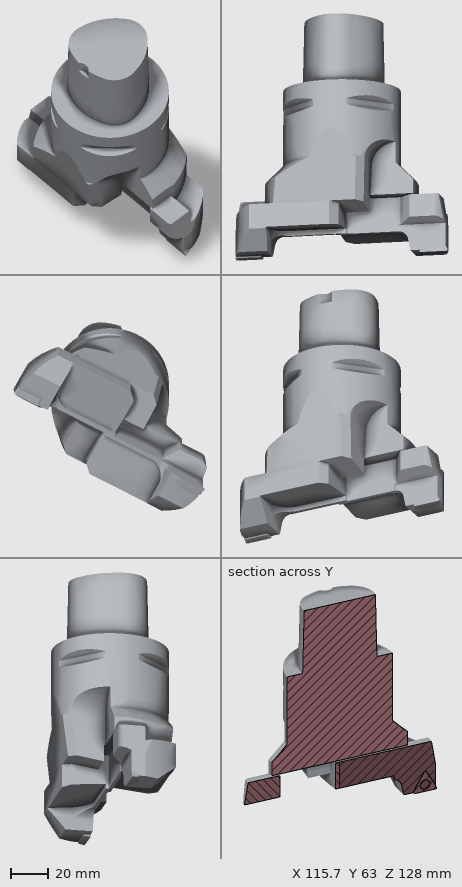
import cadquery as cq
import math


total_height = 128.0
flange_radius = 31.5
flange_top = 89.9
cone_top = 48.4
base_radius = 41.2
base_edge_fillet = 1.3
base_flat_x = 40.2
cone_bottom = cone_top - (base_radius - flange_radius)

shank_foot_radius = 23.4
shank_tip_radius = 22.5
lobe_to_seam = 1.5
lobe_to_flank = 3.0
lobe_half_angle = 25.5
lobe_angles = (-30, 90, 210)
lobe_spacing = 120
notch_radius = 4.9
notch_axis_y = -22.4
notch_floor = 121.7

groove_z = 78.0
groove_floor_distance = 27.8
groove_floor_width = 3.5
groove_mouth_width = 8.0

half_tongue = 7.0
plate_side_y = 25.9
seat_inner_z = 22.1
seat_outer_z = 25.0
slot_ceiling = 31.2
tongue_top = 30.5

side_flat_top = 63.7
pocket_wall_y = -6.7
pocket_radius = 13.0
pocket_arc_z = 46.6
pocket_arc_floor_x = 17.8
pocket_low_floor_x = 16.6
corner_cut = 4.0

cartridge_end_x = 56.7
plate_inner_x = -2.8
plate_chamfer = 4.2
block_front_end_x = 52.4
end_corner_mid = (54.4, -6.0)
end_face_front_y = -3.5
end_face_back_y = 6.7
plate_round_mid = (53.2, 15.5)
plate_side_end_x = 45.2
rib_bottom = 11.8
leg_bottom = 1.3
leg_top_x = 35.5
leg_bottom_x = 37.6
leg_fillet = 5.1
leg_foot_width = 15.0
leg_chamfer_top = 11.5
end_tilt_start = 15.1
end_top_x = 54.1
recess_inner_x = 2.7
recess_outer_floor_x = 32.4
recess_outer_mouth_x = 38.4
recess_corner_radius = 1.3
recess_rise = 0.4
mouth_edge_fillet = 1.9
ledge_z = 15.4
ledge_slope = math.tan(math.radians(25))
ledge_inner_x = 31.2
rib_thickness = 1.8
hollow_wall_x = 36.2
hollow_corner_radius = 10.2
hollow_inner_z = 14.5
hollow_outer_z = 12.2

rake_offset = 0.9
insert_x = 50.3
insert_inradius = 4.7
insert_nose_radius = 0.8
insert_thickness = 3.8
insert_clearance = 7.0
insert_hole_diameter = 6.0

far = 76.8


def half_turn(shape):
    return shape.rotate((0, 0, 0), (0, 0, 1), 180)


def prism_along_x(points, start_x, end_x):
    """Prism with a section given as (y, z) points."""
    return cq.Workplane("YZ", origin=(start_x, 0, 0)).polyline(points).close().extrude(end_x - start_x)


def polar_point(radius, degrees):
    angle = math.radians(degrees)
    return (radius * math.cos(angle), radius * math.sin(angle))


def draw_lobed_outline(plane, lobe_radius):
    """Closed outline of three lobe arcs and three flatter flank arcs."""
    seam_radius = lobe_radius - lobe_to_seam
    outline = plane.moveTo(*polar_point(seam_radius, lobe_angles[0] - lobe_half_angle))
    for angle in lobe_angles:
        outline = outline.threePointArc(
            polar_point(lobe_radius, angle),
            polar_point(seam_radius, angle + lobe_half_angle),
        ).threePointArc(
            polar_point(lobe_radius - lobe_to_flank, angle + lobe_spacing / 2),
            polar_point(seam_radius, angle + lobe_spacing - lobe_half_angle),
        )
    return outline.close()


def make_shank():
    foot = draw_lobed_outline(cq.Workplane("XY", origin=(0, 0, flange_top)), shank_foot_radius)
    tip_plane = foot.workplane(offset=total_height - flange_top)
    shank = draw_lobed_outline(tip_plane, shank_tip_radius).loft(ruled=True)
    notch = (
        cq.Workplane("XY", origin=(0, notch_axis_y, notch_floor))
        .circle(notch_radius)
        .extrude(total_height - notch_floor)
    )
    return shank.cut(notch)


def make_gripper_groove(angle):
    section = [
        (groove_floor_distance, groove_z - groove_floor_width / 2),
        (flange_radius, groove_z - groove_mouth_width / 2),
        (flange_radius, groove_z + groove_mouth_width / 2),
        (groove_floor_distance, groove_z + groove_floor_width / 2),
    ]
    groove = cq.Workplane("XZ").polyline(section).close().extrude(flange_radius, both=True)
    return groove.rotate((0, 0, 0), (0, 0, 1), angle)


def make_chip_pocket():
    """Space in front of the +X insert, open toward -Y and +X."""
    arc_center_x = pocket_arc_floor_x + pocket_radius
    slope = (pocket_arc_floor_x - pocket_low_floor_x) / (pocket_arc_z - seat_outer_z)
    foot_x = pocket_low_floor_x - slope * seat_outer_z
    diagonal = pocket_radius * math.sqrt(0.5)
    return (
        cq.Workplane("XZ", origin=(0, pocket_wall_y, 0))
        .moveTo(foot_x, 0)
        .lineTo(pocket_arc_floor_x, pocket_arc_z)
        .threePointArc(
            (arc_center_x - diagonal, pocket_arc_z + diagonal),
            (arc_center_x, pocket_arc_z + pocket_radius),
        )
        .lineTo(far, pocket_arc_z + pocket_radius)
        .lineTo(far, 0)
        .close()
        .extrude(far)
    )


def side_flat_y(z):
    """Y of the tapered flat on the -Y side."""
    taper = (flange_radius - plate_side_y) / (side_flat_top - seat_outer_z)
    return -flange_radius + taper * (side_flat_top - z)


def make_pocket_corner_cut():
    """45 degree cut along the edge between the chip pocket floor and the -Y flat."""
    low = cq.Vector(pocket_low_floor_x - corner_cut, side_flat_y(seat_outer_z), seat_outer_z)
    high = cq.Vector(pocket_arc_floor_x - corner_cut, side_flat_y(pocket_arc_z), pocket_arc_z)
    across = cq.Vector(1, 1, 0)
    outward = (high - low).cross(across)
    if outward.y > 0:
        outward = outward * -1
    cut_plane = cq.Plane(origin=low, xDir=across, normal=outward)
    cutter = cq.Workplane(cut_plane).rect(2 * flange_radius, 2 * far).extrude(flange_radius)
    keep_clear = cq.Workplane("XY").box(far, far, 2 * far).translate((far / 2, pocket_wall_y - far / 2, 0))
    return cutter.intersect(keep_clear)


def make_side_flat():
    section = [
        (side_flat_y(0), 0),
        (side_flat_y(side_flat_top), side_flat_top),
        (-far, side_flat_top),
        (-far, 0),
    ]
    return prism_along_x(section, -far, far)


def make_underside():
    """Everything below the two sloping cartridge seats."""
    slope = (seat_outer_z - seat_inner_z) / (plate_side_y - half_tongue)
    edge_z = seat_inner_z + slope * (far - half_tongue)
    section = [
        (-far, 0),
        (-far, edge_z),
        (-half_tongue, seat_inner_z),
        (half_tongue, seat_inner_z),
        (far, edge_z),
        (far, 0),
    ]
    return prism_along_x(section, -far, far)


def make_turned_body():
    """Turned shape of the housing, with the edge between cone and base rounded."""
    tangent_length = base_edge_fillet * math.tan(math.radians(22.5))
    diagonal = math.sqrt(0.5)
    arc_end_z = cone_bottom - tangent_length
    arc_center_x = base_radius - base_edge_fillet
    mid_x, mid_z = polar_point(base_edge_fillet, 22.5)
    return (
        cq.Workplane("XZ")
        .moveTo(0, 0)
        .lineTo(base_radius, 0)
        .lineTo(base_radius, arc_end_z)
        .threePointArc(
            (arc_center_x + mid_x, arc_end_z + mid_z),
            (base_radius - tangent_length * diagonal, cone_bottom + tangent_length * diagonal),
        )
        .lineTo(flange_radius, cone_top)
        .lineTo(flange_radius, flange_top)
        .lineTo(0, flange_top)
        .close()
        .revolve(360, (0, 0, 0), (0, 1, 0))
    )


def make_housing():
    body = make_turned_body()
    base_flat = cq.Workplane("XY").box(far, 2 * far, 2 * far).translate((base_flat_x + far / 2, 0, 0))
    for tool in (base_flat, make_side_flat(), make_chip_pocket(), make_pocket_corner_cut()):
        body = body.cut(tool).cut(half_turn(tool))
    body = body.cut(make_underside())
    slot = cq.Workplane("XY").box(2 * far, 2 * half_tongue, 2 * slot_ceiling)
    body = body.cut(slot)
    for angle in (45, 135, 225, 315):
        body = body.cut(make_gripper_groove(angle))
    return body.union(make_shank())


def make_cartridge_blank(rake_y):
    """Cartridge section cut to its outline; the insert sits at +X and faces -Y."""
    section = [
        (-half_tongue, leg_bottom),
        (-half_tongue, tongue_top),
        (half_tongue, tongue_top),
        (half_tongue, seat_inner_z),
        (plate_side_y, seat_outer_z),
        (plate_side_y, leg_chamfer_top),
        (rake_y + leg_foot_width, leg_bottom),
    ]
    bar = prism_along_x(section, plate_inner_x, cartridge_end_x)
    outline = (
        cq.Workplane("XY")
        .moveTo(0, -half_tongue)
        .lineTo(block_front_end_x, -half_tongue)
        .threePointArc(end_corner_mid, (cartridge_end_x, end_face_front_y))
        .lineTo(cartridge_end_x, end_face_back_y)
        .threePointArc(plate_round_mid, (plate_side_end_x, plate_side_y))
        .lineTo(plate_inner_x + plate_chamfer, plate_side_y)
        .lineTo(plate_inner_x, plate_side_y - plate_chamfer)
        .lineTo(plate_inner_x, half_tongue)
        .lineTo(0, half_tongue)
        .close()
        .extrude(far)
    )
    return bar.intersect(outline)


def make_leg_clearance():
    """Space below the rib, inward of the leg."""
    slant = (leg_bottom_x - leg_top_x) / (rib_bottom - leg_bottom)
    space = (
        cq.Workplane("XZ")
        .polyline([
            (-far, 0),
            (-far, rib_bottom),
            (leg_top_x, rib_bottom),
            (leg_top_x + slant * rib_bottom, 0),
        ])
        .close()
        .extrude(far, both=True)
    )
    top_corner = cq.selectors.NearestToPointSelector((leg_top_x, 0, rib_bottom))
    return space.edges(top_corner).fillet(leg_fillet)


def make_end_tilt():
    lean = (cartridge_end_x - end_top_x) / (tongue_top - end_tilt_start)
    return (
        cq.Workplane("XZ")
        .polyline([
            (cartridge_end_x, end_tilt_start),
            (cartridge_end_x - lean * (far - end_tilt_start), far),
            (far, far),
            (far, end_tilt_start),
        ])
        .close()
        .extrude(far, both=True)
    )


def make_chip_recess(rake_y):
    """Recess in the tongue's -Y side, from the axis to the insert block."""
    floor_y = rake_y - recess_rise
    recess = (
        cq.Workplane("XY")
        .polyline([
            (recess_inner_x, -half_tongue),
            (recess_inner_x, floor_y),
            (recess_outer_floor_x, floor_y),
            (recess_outer_mouth_x, -half_tongue),
        ])
        .close()
        .extrude(far)
    )
    inner_corner = cq.selectors.NearestToPointSelector((recess_inner_x, floor_y, far / 2))
    return recess.edges(inner_corner).fillet(recess_corner_radius)


def make_rake_clearance(rake_y):
    """Open space in front of the insert, below a sloping ledge."""
    mouth_y = -2 * half_tongue
    section = [
        (rake_y, 0),
        (rake_y, ledge_z),
        (mouth_y, ledge_z + ledge_slope * (rake_y - mouth_y)),
        (mouth_y, 0),
    ]
    return prism_along_x(section, ledge_inner_x, far)


def make_hollow(rake_y):
    """Hollow under the plate, behind the rib."""
    back_y = rake_y + rib_thickness
    footprint = (
        cq.Workplane("XY")
        .polyline([(-far, back_y), (hollow_wall_x, back_y), (hollow_wall_x, far), (-far, far)])
        .close()
        .extrude(far)
    )
    corner = cq.selectors.NearestToPointSelector((hollow_wall_x, back_y, far / 2))
    footprint = footprint.edges(corner).fillet(hollow_corner_radius)
    depth = [
        (back_y, leg_bottom),
        (back_y, hollow_inner_z),
        (plate_side_y, hollow_outer_z),
        (plate_side_y, leg_bottom),
    ]
    return footprint.intersect(prism_along_x(depth, -far, far))


def make_insert_blank(rake_y):
    corner_radius = 2 * insert_inradius
    blank = (
        cq.Workplane("XZ", origin=(insert_x, rake_y, insert_inradius))
        .polyline([
            (corner_radius * math.cos(math.radians(a)), corner_radius * math.sin(math.radians(a)))
            for a in (90, 210, 330)
        ])
        .close()
        .extrude(-insert_thickness, taper=insert_clearance)
    )
    slanted_edges = cq.selectors.BoxSelector(
        (0, rake_y + 0.1, -far), (far, rake_y + insert_thickness - 0.1, far)
    )
    return blank.edges(slanted_edges).fillet(insert_nose_radius)


def make_insert_peg(rake_y):
    """Cylinder that fills the insert's hole, flush with the rake face."""
    return (
        cq.Workplane("XZ", origin=(insert_x, rake_y, insert_inradius))
        .circle(insert_hole_diameter / 2)
        .extrude(-insert_thickness)
    )


def make_insert(rake_y):
    return make_insert_blank(rake_y).cut(make_insert_peg(rake_y))


def make_cartridge(rake_y):
    body = make_cartridge_blank(rake_y)
    for tool in (
        make_leg_clearance(),
        make_end_tilt(),
        make_chip_recess(rake_y),
        make_rake_clearance(rake_y),
        make_hollow(rake_y),
        half_turn(make_hollow(-rake_y)),
    ):
        body = body.cut(tool)
    block_middle_z = (ledge_z + tongue_top) / 2
    mouth_edge = cq.selectors.NearestToPointSelector((recess_outer_mouth_x, -half_tongue, block_middle_z))
    body = body.edges("|Z").edges(mouth_edge).fillet(mouth_edge_fillet)
    return body.cut(make_insert_blank(rake_y)).union(make_insert_peg(rake_y))


housing = make_housing()

cartridges = [make_cartridge(rake_offset), half_turn(make_cartridge(-rake_offset))]
inserts = [make_insert(rake_offset), half_turn(make_insert(-rake_offset))]

result = cq.Compound.makeCompound(
    [housing.solids().val()]
    + [cartridge.solids().val() for cartridge in cartridges]
    + [insert.solids().val() for insert in inserts]
)